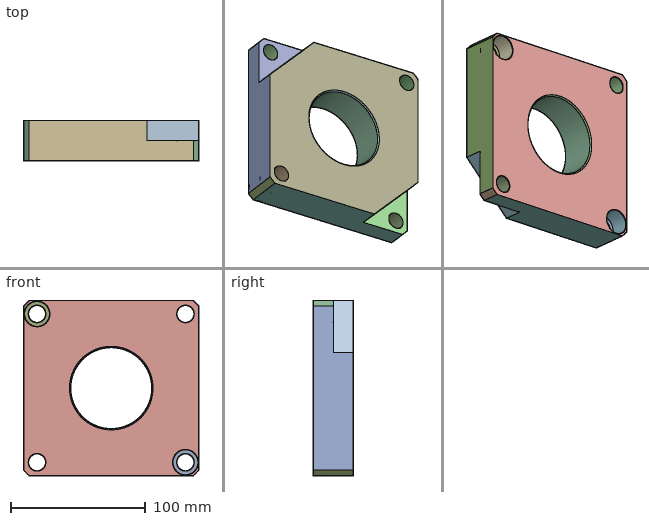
import cadquery as cq

side = 130.0
thickness = 30.0
turned_corner_diameter = 178.0

bore_diameter = 60.0
bore_chamfer = 1.0

hole_spacing = 110.0
hole_diameter = 12.5
counterbore_diameter = 18.5
counterbore_depth = thickness / 2
hole_chamfer = 0.3

corner_cut_leg = 38.5
corner_cut_depth = thickness / 2

half_side = side / 2
hole_offset = hole_spacing / 2
front_y = -thickness / 2
rear_y = thickness / 2
along_y = cq.Vector(0, 1, 0)


def cylinder(diameter, x, z, length):
    """Cylinder running along +Y from the front face."""
    start = cq.Vector(x, front_y, z)
    return cq.Workplane(cq.Solid.makeCylinder(diameter / 2, length, start, along_y))


def edge_cone(diameter, chamfer, x, z, edge_y, inward=1):
    """45 degree cone that breaks a hole edge at edge_y, narrowing along inward * Y."""
    start = cq.Vector(x, edge_y, z)
    radius = diameter / 2
    return cq.Workplane(cq.Solid.makeCone(radius + chamfer, radius, chamfer, start, along_y * inward))


def block():
    """Square block with its four vertices turned to a common diameter."""
    square = cq.Workplane("XY").box(side, thickness, side)
    return square.intersect(cylinder(turned_corner_diameter, 0, 0, thickness))


def corner_cut(sign):
    """Triangular prism removed from the rear of the (+X, +Z) or (-X, -Z) corner."""
    outer = sign * half_side
    inner = sign * (half_side - corner_cut_leg)
    return (
        cq.Workplane("XZ", origin=(0, rear_y, 0))
        .polyline([(inner, outer), (outer, outer), (outer, inner)])
        .close()
        .extrude(corner_cut_depth)
    )


def central_bore():
    """Through bore chamfered at the front and the rear."""
    bore = cylinder(bore_diameter, 0, 0, thickness)
    bore = bore.union(edge_cone(bore_diameter, bore_chamfer, 0, 0, front_y))
    return bore.union(edge_cone(bore_diameter, bore_chamfer, 0, 0, rear_y, inward=-1))


def screw_hole(x, z, edge_y=front_y):
    """Through hole with a small chamfer on its front edge at edge_y."""
    hole = cylinder(hole_diameter, x, z, thickness)
    return hole.union(edge_cone(hole_diameter, hole_chamfer, x, z, edge_y))


def counterbored_hole(x, z):
    """Screw hole sunk in a chamfered counterbore from the front face."""
    counterbore = cylinder(counterbore_diameter, x, z, counterbore_depth)
    counterbore = counterbore.union(edge_cone(counterbore_diameter, hole_chamfer, x, z, front_y))
    return counterbore.union(screw_hole(x, z, front_y + counterbore_depth))


result = block().cut(central_bore())
for sign in (1, -1):
    offset = sign * hole_offset
    result = result.cut(corner_cut(sign))
    result = result.cut(screw_hole(offset, offset))
    result = result.cut(counterbored_hole(offset, -offset))